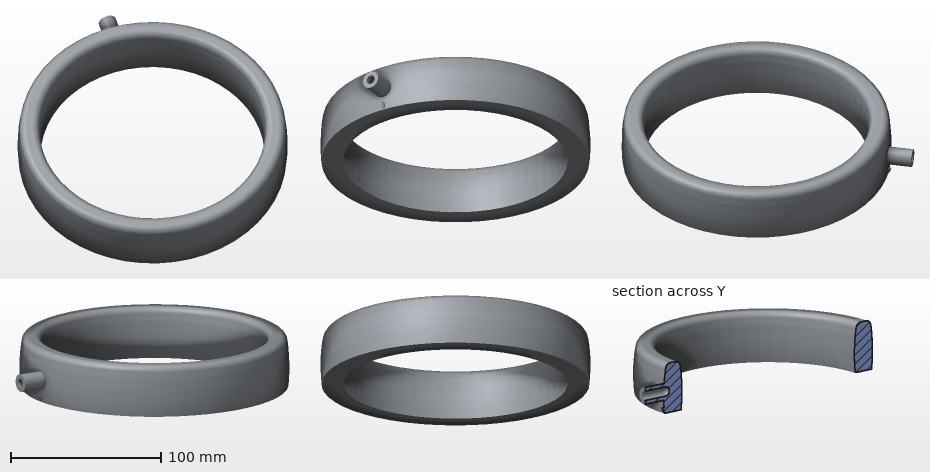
import cadquery as cq
import math

ring_height = 34.4
ring_radius = 89.74
bore_radius = 73.8
wall_bulge = 0.68
bulge_height = 25.5
shoulder_height = 30.3
shoulder_inset = 1.4
top_inset = 6.5
rounding_share = math.sqrt(0.5)

nipple_diameter = 12.0
nipple_bore = 6.0
nipple_tip_x = ring_radius - 195.3
nipple_height = 15.0
nipple_root_x = -84.0
nipple_bore_end_x = -87.9

catch_width = 1.8
catch_top = 4.7
catch_bottom = 0.4
catch_reach = 1.5
catch_root_x = -87.0
catch_lip = 0.8
catch_neck_height = 2.7


def make_ring():
    """Revolve the ring section about Z."""
    mid_radius = (ring_radius + bore_radius) / 2
    half_width = (ring_radius - bore_radius) / 2

    def wall_point(side, inset, height):
        return (mid_radius + side * (half_width - inset), height)

    round_rise = ring_height - shoulder_height
    round_run = top_inset - shoulder_inset
    round_inset = top_inset - round_run * rounding_share
    round_height = shoulder_height + round_rise * rounding_share

    outer, inner = 1, -1
    section = (
        cq.Workplane("XZ")
        .moveTo(*wall_point(outer, wall_bulge, 0))
        .threePointArc(
            wall_point(outer, 0, bulge_height / 2),
            wall_point(outer, wall_bulge, bulge_height),
        )
        .lineTo(*wall_point(outer, shoulder_inset, shoulder_height))
        .threePointArc(
            wall_point(outer, round_inset, round_height),
            wall_point(outer, top_inset, ring_height),
        )
        .lineTo(*wall_point(inner, top_inset, ring_height))
        .threePointArc(
            wall_point(inner, round_inset, round_height),
            wall_point(inner, shoulder_inset, shoulder_height),
        )
        .lineTo(*wall_point(inner, wall_bulge, bulge_height))
        .threePointArc(
            wall_point(inner, 0, bulge_height / 2),
            wall_point(inner, wall_bulge, 0),
        )
        .close()
    )
    return section.revolve(360, (0, 0, 0), (0, 1, 0))


def make_rod(diameter, end_x):
    """Cylinder along X from the nipple tip to end_x."""
    return (
        cq.Workplane("YZ", origin=(nipple_tip_x, 0, nipple_height))
        .circle(diameter / 2)
        .extrude(end_x - nipple_tip_x)
    )


def make_catch():
    """Small lip that hooks outward and upward from the foot of the outer wall."""
    tip_x = -ring_radius - catch_reach
    neck_x = tip_x + catch_lip
    return (
        cq.Workplane("XZ")
        .moveTo(catch_root_x, catch_bottom)
        .lineTo(-ring_radius + wall_bulge, catch_bottom)
        .lineTo(neck_x, catch_neck_height)
        .lineTo(tip_x, catch_top)
        .lineTo(neck_x, catch_top)
        .lineTo(catch_root_x, catch_neck_height)
        .close()
        .extrude(catch_width / 2, both=True)
    )


def make_bore():
    """Blind bore along the nipple with a domed inner end."""
    dome = cq.Workplane("XY", origin=(nipple_bore_end_x, 0, nipple_height)).sphere(nipple_bore / 2)
    return make_rod(nipple_bore, nipple_bore_end_x).union(dome)


result = (
    make_ring()
    .union(make_rod(nipple_diameter, nipple_root_x))
    .union(make_catch())
    .cut(make_bore())
)